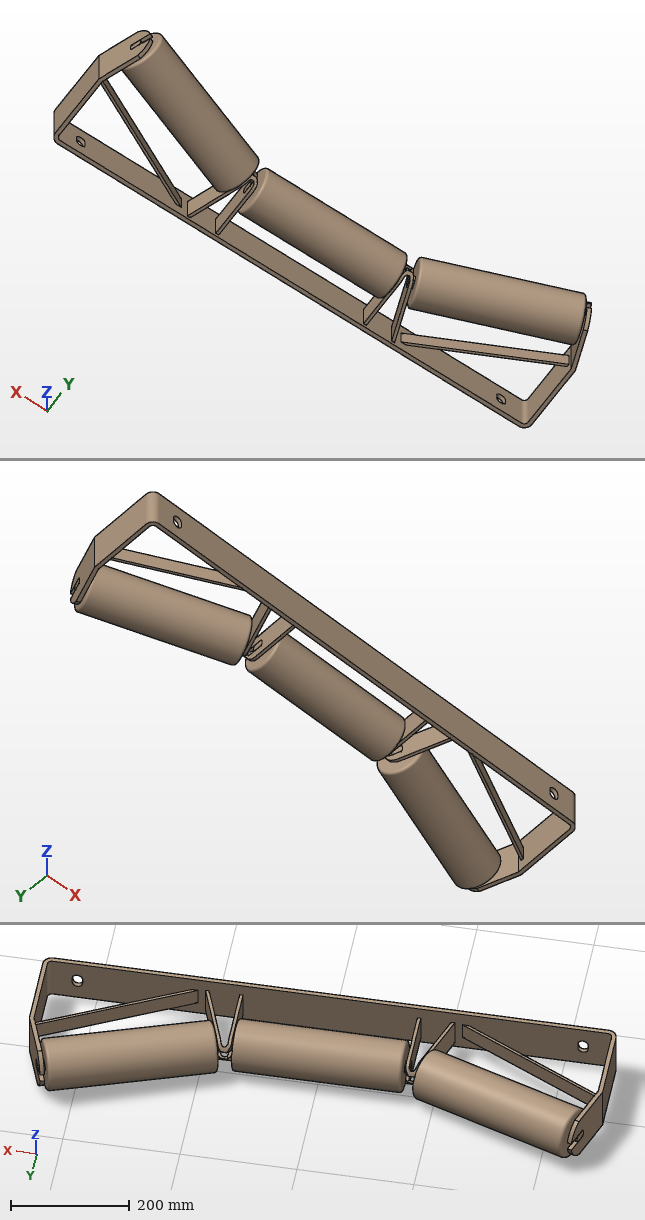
import cadquery as cq
import math

frame_length = 980.0
strip_height = 80.0
wall = 8.0
corner_radius = 16.0
bend_y = 143.0
tip_y = 242.0
tip_radius = 44.0
half_length = frame_length / 2
strip_mid_z = strip_height / 2

slot_offset_x = 432.0
slot_width = 18.0
slot_height = 26.0

roller_diameter = 89.0
roller_length = 290.0
roller_edge_radius = 5.0
shaft_diameter = 22.0
shaft_flat_width = 15.0
trough_angle = 20.0
lean_angle = 1.4
support_slot_rise = 98.0
support_slot_extra = 10.0
middle_axis_y = 100.0
middle_axis_z = 33.0
side_center_x = 317.0
side_center_y = 160.0
side_center_z = middle_axis_z + roller_length / 2 * math.sin(math.radians(lean_angle))

bracket_thickness = 6.0
bracket_height = 49.0
bracket_face_x = 149.0
bracket_top_y = 129.0
bracket_bend_radius = 12.0
bracket_base_z = middle_axis_z - bracket_height / 2

brace_thickness = 5.0
brace_height = 30.0
brace_foot_x = 231.0
brace_head_y = 132.0
brace_base_z = strip_mid_z - brace_height / 2

cos_trough = math.cos(math.radians(trough_angle))
sin_trough = math.sin(math.radians(trough_angle))

bend_center_x = bracket_face_x + bracket_bend_radius
bend_center_y = bracket_top_y - bracket_bend_radius


def along_side_axis(x, y):
    """Distance of a point from the side roller's middle, along its axis seen in XY."""
    return (x - side_center_x) * cos_trough + (y - side_center_y) * sin_trough


side_reach_out = along_side_axis(half_length, bend_y)
side_reach_in = bracket_thickness - bracket_bend_radius - along_side_axis(bend_center_x, bend_center_y)
middle_reach = bracket_face_x + bracket_thickness


def mirrored(body):
    return body.mirror("YZ")


def place_middle(body):
    return body.translate((0, middle_axis_y, middle_axis_z))


def place_side(body):
    """Move a body built along X to the axis of the +X side roller."""
    leaned = body.rotate((0, 0, 0), (0, 1, 0), -lean_angle)
    raised = leaned.rotate((0, 0, 0), (0, 0, 1), trough_angle)
    return raised.translate((side_center_x, side_center_y, side_center_z))


def make_shaft(reach_in, reach_out):
    """Round shaft along X with two flats, facing up and down in Z."""
    length = reach_in + reach_out
    rod = cq.Workplane("YZ", origin=(-reach_in, 0, 0)).circle(shaft_diameter / 2).extrude(length)
    flats = cq.Workplane("XY").box(2 * length, shaft_diameter, shaft_flat_width)
    return rod.intersect(flats)


def make_roller(reach_in, reach_out):
    barrel = (
        cq.Workplane("YZ", origin=(-roller_length / 2, 0, 0))
        .circle(roller_diameter / 2)
        .extrude(roller_length)
        .edges()
        .fillet(roller_edge_radius)
    )
    return barrel.union(make_shaft(reach_in, reach_out))


def make_support_slot(reach_in, reach_out):
    """Cutter that lets the shaft drop into its supports from above."""
    slot_in = reach_in + support_slot_extra
    slot_out = reach_out + support_slot_extra
    channel = (
        cq.Workplane("XY", origin=((slot_out - slot_in) / 2, support_slot_rise / 2, 0))
        .box(slot_in + slot_out, support_slot_rise, shaft_flat_width)
    )
    return channel.union(make_shaft(slot_in, slot_out))


side_slot = place_side(make_support_slot(side_reach_in, side_reach_out))
middle_slot = place_middle(make_support_slot(middle_reach, middle_reach))


def make_frame():
    tip_drop = tip_y - bend_y
    tip_x = half_length - tip_drop * sin_trough / cos_trough
    inner_x = half_length - wall
    inner_bend_y = bend_y - wall * math.tan(math.radians(trough_angle / 2))
    inner_tip = (tip_x - wall * cos_trough, tip_y - wall * sin_trough)
    outline = [
        (half_length, 0),
        (half_length, bend_y),
        (tip_x, tip_y),
        inner_tip,
        (inner_x, inner_bend_y),
        (inner_x, wall),
    ]
    outline += [(-x, y) for x, y in reversed(outline)]
    frame = cq.Workplane("XY").polyline(outline).close().extrude(strip_height)
    frame = round_corners(frame)
    for cutter in (make_tip_cutter(tip_x), side_slot):
        frame = frame.cut(cutter).cut(mirrored(cutter))
    return frame.cut(make_mounting_slots())


def round_corners(frame):
    """Round the two bottom corners of the strip, outside and inside."""
    frame = frame.edges("|Z and <Y").fillet(corner_radius)
    inner_corners = cq.selectors.BoxSelector(
        (-half_length, wall / 2, -10), (half_length, wall * 3 / 2, strip_height + 10)
    )
    return frame.edges("|Z").edges(inner_corners).fillet(corner_radius - wall)


def make_tip_cutter(tip_x):
    """Waste outside the rounded end of the leaning part, on the +X side."""
    half_chord = strip_height / 2
    arc_depth = tip_radius - math.sqrt(tip_radius**2 - half_chord**2)
    leaning_face = cq.Plane(
        origin=(tip_x, tip_y, strip_mid_z),
        xDir=(0, 0, -1),
        normal=(cos_trough, sin_trough, 0),
    )
    return (
        cq.Workplane(leaning_face)
        .moveTo(-half_chord, -arc_depth)
        .threePointArc((0, 0), (half_chord, -arc_depth))
        .lineTo(half_chord, wall)
        .lineTo(-half_chord, wall)
        .close()
        .extrude(wall * 2, both=True)
    )


def make_mounting_slots():
    return (
        cq.Workplane("XZ", origin=(0, 0, strip_mid_z))
        .pushPoints([(-slot_offset_x, 0), (slot_offset_x, 0)])
        .slot2D(slot_height, slot_width, 90)
        .extrude(-wall)
    )


def make_bracket():
    """Bracket on the +X side: an upright leg, a bend and a leg square to the side roller."""

    def bend_point(radius, angle):
        return (
            bend_center_x + radius * math.cos(math.radians(angle)),
            bend_center_y + radius * math.sin(math.radians(angle)),
        )

    def foot_of_leaning_leg(radius):
        x, y = bend_point(radius, trough_angle)
        return (x + (y - wall) * sin_trough / cos_trough, wall)

    outer = bracket_bend_radius
    inner = bracket_bend_radius - bracket_thickness
    upright_angle = 180
    middle_angle = (upright_angle + trough_angle) / 2
    bracket = (
        cq.Workplane("XY", origin=(0, 0, bracket_base_z))
        .moveTo(bracket_face_x, wall)
        .lineTo(bracket_face_x, bend_center_y)
        .threePointArc(bend_point(outer, middle_angle), bend_point(outer, trough_angle))
        .lineTo(*foot_of_leaning_leg(outer))
        .lineTo(*foot_of_leaning_leg(inner))
        .lineTo(*bend_point(inner, trough_angle))
        .threePointArc(bend_point(inner, middle_angle), bend_point(inner, upright_angle))
        .lineTo(bracket_face_x + bracket_thickness, wall)
        .close()
        .extrude(bracket_height)
    )
    return bracket.intersect(make_bracket_outline()).cut(side_slot).cut(middle_slot)


def make_bracket_outline():
    """Block along X with the full-round top that both legs share."""
    half_height = bracket_height / 2
    shoulder_y = bracket_top_y - half_height
    return (
        cq.Workplane("YZ", origin=(0, 0, middle_axis_z))
        .moveTo(wall, -half_height)
        .lineTo(shoulder_y, -half_height)
        .threePointArc((bracket_top_y, 0), (shoulder_y, half_height))
        .lineTo(wall, half_height)
        .close()
        .extrude(half_length)
    )


def make_brace():
    """Brace on the +X side, its ends cut to lie flat on the frame."""
    head_x = half_length - wall
    slope = math.atan2(brace_head_y - wall, head_x - brace_foot_x)
    half_foot = brace_thickness / 2 / math.sin(slope)
    half_head = brace_thickness / 2 / math.cos(slope)
    outline = [
        (brace_foot_x - half_foot, wall),
        (brace_foot_x + half_foot, wall),
        (head_x, brace_head_y - half_head),
        (head_x, brace_head_y + half_head),
    ]
    return cq.Workplane("XY", origin=(0, 0, brace_base_z)).polyline(outline).close().extrude(brace_height)


frame = make_frame()
middle_roller = place_middle(make_roller(middle_reach, middle_reach))

side_bodies = []
for body in (place_side(make_roller(side_reach_in, side_reach_out)), make_bracket(), make_brace()):
    side_bodies += [body.val(), mirrored(body).val()]

result = cq.Compound.makeCompound([frame.val(), middle_roller.val(), *side_bodies])